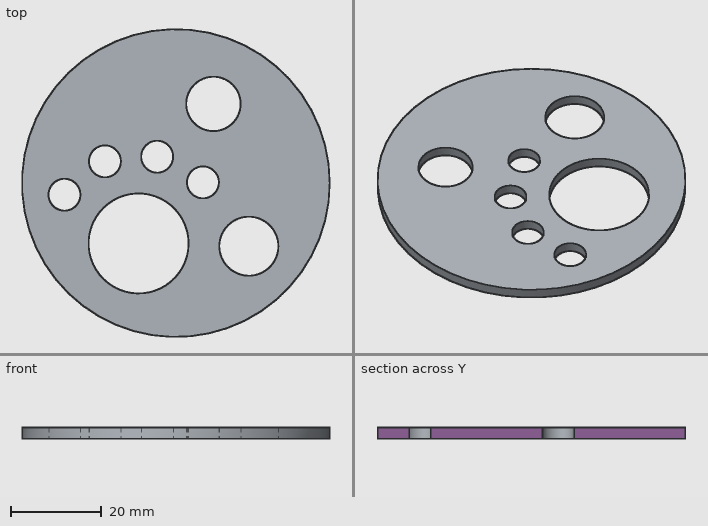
import cadquery as cq
import math

plate_diameter = 68
plate_thickness = 2.5

main_hole_diameter = 22.0
main_hole_center = (-8.2, -13.3)
upper_hole_diameter = 12.0
upper_hole_center = (8.3, 17.5)
side_hole_diameter = 13.0
side_hole_center = (16.1, -13.95)

small_hole_diameter = 7.0
small_hole_count = 4
small_hole_arc_radius = 19.6
small_hole_first_angle = 43.5
small_hole_angle_step = 34.4


def small_hole_center(index):
    """Center of one small hole, counted counterclockwise along the arc."""
    angle = math.radians(small_hole_first_angle + index * small_hole_angle_step)
    return (
        main_hole_center[0] + small_hole_arc_radius * math.cos(angle),
        main_hole_center[1] + small_hole_arc_radius * math.sin(angle),
    )


def cut_through_holes(body, diameter, centers):
    """Cut equal holes through the full thickness of the plate."""
    return body.cut(
        cq.Workplane("XY")
        .pushPoints(centers)
        .circle(diameter / 2)
        .extrude(plate_thickness)
    )


plate = cq.Workplane("XY").circle(plate_diameter / 2).extrude(plate_thickness)
plate = cut_through_holes(plate, main_hole_diameter, [main_hole_center])
plate = cut_through_holes(plate, upper_hole_diameter, [upper_hole_center])
plate = cut_through_holes(plate, side_hole_diameter, [side_hole_center])

small_hole_centers = [small_hole_center(index) for index in range(small_hole_count)]
result = cut_through_holes(plate, small_hole_diameter, small_hole_centers)